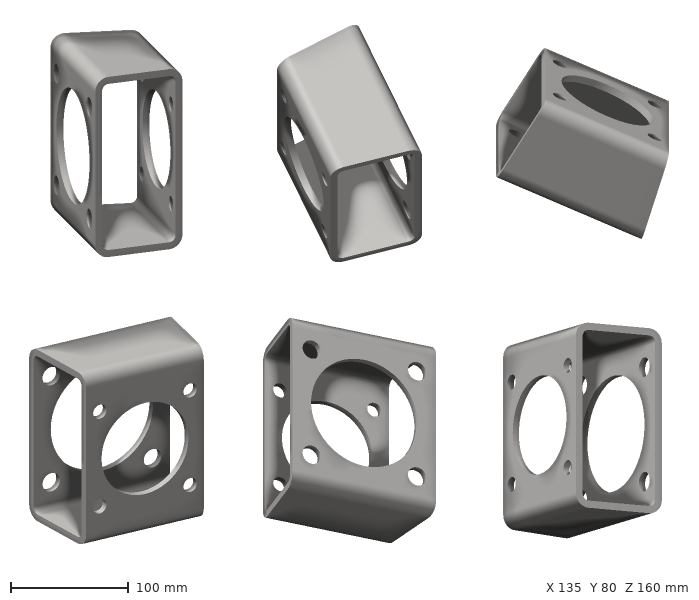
import cadquery as cq

height = 160.0
depth = 80.0
wall = 6.2
outer_radius = 12.0
inner_radius = outer_radius - wall

front_width = 135.0
back_width = 115.0

front_bore = 100.0
front_bolt_hole = 17.0
front_bolt_pitch = 99.0
back_bore = 85.0
back_bolt_hole = 13.0
back_bolt_pitch = 88.3


def rounded_bar(bar_depth, bar_height, radius):
    """Solid bar along X with rounded long edges."""
    return cq.Workplane("XY").box(front_width, bar_depth, bar_height).edges("|X").fillet(radius)


def wall_holes(outside_y, bore, bolt_hole, pitch):
    """Cutters reaching from an outside face to the middle of the tube."""
    toward_middle = outside_y
    plane = cq.Workplane("XZ", origin=(0, outside_y, 0))
    bore_cutter = plane.circle(bore / 2).extrude(toward_middle)
    bolt_cutters = plane.rect(pitch, pitch, forConstruction=True).vertices()
    return bore_cutter.union(bolt_cutters.circle(bolt_hole / 2).extrude(toward_middle))


tube = rounded_bar(depth, height, outer_radius).cut(
    rounded_bar(depth - 2 * wall, height - 2 * wall, inner_radius)
)

mitred_envelope = (
    cq.Workplane("XY", origin=(0, 0, -height / 2))
    .polyline([
        (-front_width / 2, -depth / 2),
        (front_width / 2, -depth / 2),
        (back_width / 2, depth / 2),
        (-back_width / 2, depth / 2),
    ])
    .close()
    .extrude(height)
)

result = (
    tube.intersect(mitred_envelope)
    .cut(wall_holes(-depth / 2, front_bore, front_bolt_hole, front_bolt_pitch))
    .cut(wall_holes(depth / 2, back_bore, back_bolt_hole, back_bolt_pitch))
)